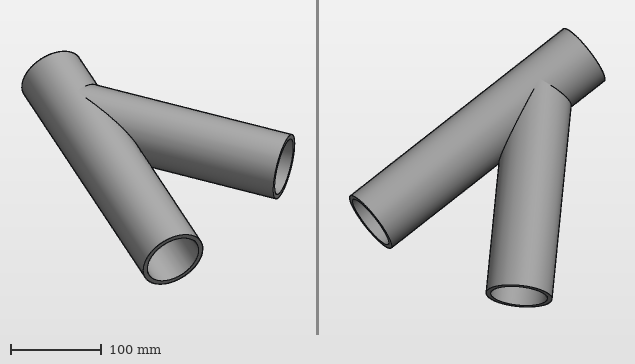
import cadquery as cq
import math

run_length = 304.8
outer_diameter = 73.0
bore_diameter = 62.8
branch_angle = 45.0
branch_start = 63.5
branch_length = 241.0

run_axis = cq.Vector(1, 0, 0)
branch_axis = cq.Vector(
    math.cos(math.radians(branch_angle)),
    math.sin(math.radians(branch_angle)),
    0,
)
run_end = cq.Vector(0, 0, 0)
axes_meet = cq.Vector(branch_start, 0, 0)


def wye(diameter):
    """Solid run and branch cylinders of one diameter, joined."""
    radius = diameter / 2
    run = cq.Solid.makeCylinder(radius, run_length, run_end, run_axis)
    branch = cq.Solid.makeCylinder(radius, branch_length, axes_meet, branch_axis)
    return cq.Workplane(obj=run).union(cq.Workplane(obj=branch))


result = wye(outer_diameter).cut(wye(bore_diameter))